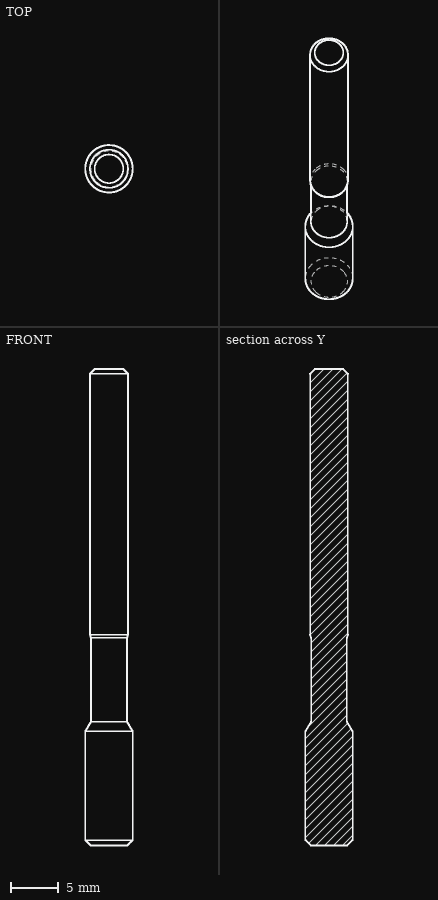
import cadquery as cq

total_length = 50.0
head_length = 12.0
neck_start = 13.0
shank_start = 21.8

head_diameter = 5.0
neck_diameter = 3.8
shank_diameter = 4.0
bottom_face_diameter = 3.8
top_face_diameter = 3.0

bottom_bevel_height = 0.6
top_bevel_height = 0.5
step_bevel_height = 0.3

head_radius = head_diameter / 2
neck_radius = neck_diameter / 2
shank_radius = shank_diameter / 2

half_section = (
    cq.Workplane("XZ")
    .moveTo(0, 0)
    .lineTo(bottom_face_diameter / 2, 0)
    .lineTo(head_radius, bottom_bevel_height)
    .lineTo(head_radius, head_length)
    .lineTo(neck_radius, neck_start)
    .lineTo(neck_radius, shank_start)
    .lineTo(shank_radius, shank_start + step_bevel_height)
    .lineTo(shank_radius, total_length - top_bevel_height)
    .lineTo(top_face_diameter / 2, total_length)
    .lineTo(0, total_length)
    .close()
)

result = half_section.revolve(360, (0, 0, 0), (0, 1, 0))